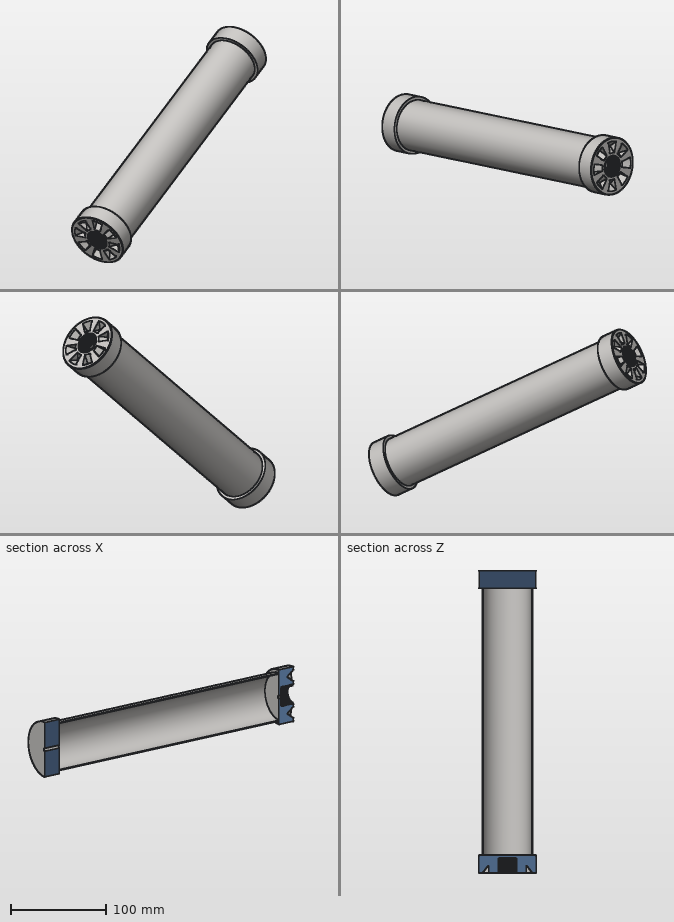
import cadquery as cq
import math

total_length = 317.5
rear_cap_height = 18.7
front_cap_height = 19.0
front_cap_diameter = 61.3
front_cap_chamfer = 0.5
rear_cap_diameter = 61.0
tube_diameter = 54.0
tube_bore = 50.8
orifice_diameter = 3.0

thread_major_diameter = 21.3
thread_minor_diameter = 18.5
thread_pitch = 1.8
thread_flank_angle = 20.0
thread_turns = 9
socket_mouth_diameter = 23.0

pocket_count = 8
pocket_half_angle = 12.5
pocket_inner_radius = 14.3
pocket_outer_radius = 26.7
pocket_depth = 8.0

front_y = -total_length / 2
rear_y = total_length / 2


def cylinder(diameter, start_y, length):
    """Cylinder about the Y axis that runs from start_y toward +Y."""
    plane = cq.Workplane("XZ", origin=(0, start_y, 0))
    return plane.circle(diameter / 2).extrude(-length)


def revolve_about_y(points):
    """Solid swept by a closed (radius, y) outline about the Y axis."""
    return cq.Workplane("XY").polyline(points).close().revolve(360, (0, 0, 0), (0, 1, 0))


def threaded_socket():
    """Cutter for the socket: a chamfered bore with one ring groove for each thread turn."""
    minor_radius = thread_minor_diameter / 2
    major_radius = thread_major_diameter / 2
    mouth_radius = socket_mouth_diameter / 2
    flank_slope = math.tan(math.radians(thread_flank_angle))
    flank_length = (major_radius - minor_radius) * flank_slope
    flat_length = thread_pitch / 2 - flank_length
    thread_start_y = front_y + (mouth_radius - major_radius) * flank_slope
    socket_end_y = thread_start_y + thread_turns * thread_pitch - flank_length

    points = [(0, front_y), (mouth_radius, front_y)]
    for turn in range(thread_turns):
        groove_y = thread_start_y + turn * thread_pitch
        crest_y = groove_y + flat_length + flank_length
        points.append((major_radius, groove_y))
        points.append((major_radius, groove_y + flat_length))
        points.append((minor_radius, crest_y))
        points.append((minor_radius, crest_y + flat_length))
    points.append((0, socket_end_y))
    return revolve_about_y(points)


def pockets():
    """Cutter for the pockets: a V-section ring split into sectors by the spokes."""
    apex_radius = (pocket_inner_radius + pocket_outer_radius) / 2
    ring = revolve_about_y(
        [
            (pocket_inner_radius, front_y),
            (pocket_outer_radius, front_y),
            (apex_radius, front_y + pocket_depth),
        ]
    )
    reach = front_cap_diameter
    half_width = reach * math.tan(math.radians(pocket_half_angle))
    sector = (
        cq.Workplane("XZ", origin=(0, front_y, 0))
        .polyline([(0, 0), (reach, -half_width), (reach, half_width)])
        .close()
        .extrude(-pocket_depth)
    )
    sectors = cq.Workplane("XY")
    for index in range(pocket_count):
        sectors = sectors.add(sector.rotate((0, 0, 0), (0, 1, 0), index * 360 / pocket_count))
    return ring.intersect(sectors.combine())


def make_front_cap():
    cap = cylinder(front_cap_diameter, front_y, front_cap_height)
    cap = cap.edges("%CIRCLE").chamfer(front_cap_chamfer)
    cap = cap.cut(threaded_socket())
    cap = cap.cut(pockets())
    return cap.cut(cylinder(orifice_diameter, front_y, front_cap_height))


def make_rear_cap():
    cap = cylinder(rear_cap_diameter, rear_y - rear_cap_height, rear_cap_height)
    return cap.cut(cylinder(orifice_diameter, rear_y - rear_cap_height, rear_cap_height))


def make_tube():
    length = total_length - front_cap_height - rear_cap_height
    start_y = front_y + front_cap_height
    return cylinder(tube_diameter, start_y, length).cut(cylinder(tube_bore, start_y, length))


front_cap = make_front_cap()
tube = make_tube()
rear_cap = make_rear_cap()

result = cq.Compound.makeCompound([front_cap.val(), tube.val(), rear_cap.val()])